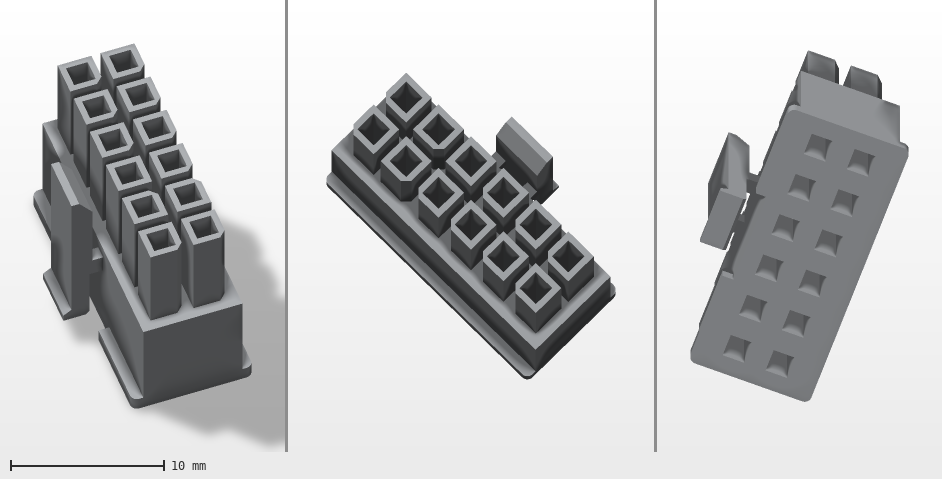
import cadquery as cq

length = 18.85
body_depth = 6.92
body_height = 7.71
body_front = -body_depth / 2

lip_reach = 0.75
lip_height = 0.98
lip_corner_radius = 0.47
front_lip_gap = 6.15

columns = 6
rows = 2
pitch = 3.0
post_side = 2.35
post_top = 14.2
key_chamfer = 0.49
hole_side = 1.5
mirrored_column = 4
square_post = (3, 0)

latch_width = 3.8
latch_bottom = 1.49
latch_top = 13.03
arm_back = 0.75
lower_arm_back = 0.96
arm_front = 2.2
latch_reach = 2.77
lead_in_depth = 0.9
lead_in_height = 1.17
heel_chamfer = 0.23
hook_edge_height = 0.53
hook_height = 0.89
bridge_bottom = 5.5
bridge_top = 6.85
bridge_leg_width = 0.9


def make_housing():
    """Rectangular block with a full rear lip and a front lip split by a gap."""
    body = cq.Workplane("XY").box(length, body_depth, body_height, centered=(True, True, False))
    flange = (
        cq.Workplane("XY")
        .box(length, body_depth + 2 * lip_reach, lip_height, centered=(True, True, False))
        .edges("|Z")
        .fillet(lip_corner_radius)
    )
    gap = (
        cq.Workplane("XY")
        .box(front_lip_gap, lip_reach, lip_height, centered=(True, True, False))
        .translate((0, body_front - lip_reach / 2, 0))
    )
    return body.union(flange.cut(gap))


def make_post(column, row):
    """Square post on the housing; all but one have a chamfered rear upright edge as a key."""
    post = cq.Workplane("XY").box(post_side, post_side, post_top - body_height, centered=(True, True, False))
    if (column, row) != square_post:
        key_edge = "<X and >Y" if column == mirrored_column else ">X and >Y"
        post = post.edges("|Z").edges(key_edge).chamfer(key_chamfer)
    x = (column - (columns - 1) / 2) * pitch
    y = (row - (rows - 1) / 2) * pitch
    return post.translate((x, y, body_height))


def make_latch():
    """Lever with a hook at its lower end, joined to the housing by two bridge legs."""
    profile = [
        (arm_back, latch_top - lead_in_height),
        (arm_back + lead_in_depth, latch_top),
        (arm_front, latch_top),
        (arm_front, latch_bottom + hook_height),
        (latch_reach, latch_bottom + hook_edge_height),
        (latch_reach, latch_bottom),
        (lower_arm_back + heel_chamfer, latch_bottom),
        (lower_arm_back, latch_bottom + heel_chamfer),
        (lower_arm_back, bridge_bottom),
        (arm_back, bridge_bottom),
    ]
    latch = (
        cq.Workplane("YZ")
        .polyline([(body_front - reach, z) for reach, z in profile])
        .close()
        .extrude(latch_width / 2, both=True)
    )
    leg_x = (latch_width - bridge_leg_width) / 2
    for side in (-1, 1):
        leg = (
            cq.Workplane("XY")
            .box(bridge_leg_width, arm_back, bridge_top - bridge_bottom, centered=(True, True, False))
            .translate((side * leg_x, body_front - arm_back / 2, bridge_bottom))
        )
        latch = latch.union(leg)
    return latch


result = make_housing().union(make_latch())

for column in range(columns):
    for row in range(rows):
        result = result.union(make_post(column, row))

holes = cq.Workplane("XY").rarray(pitch, pitch, columns, rows).rect(hole_side, hole_side).extrude(post_top)
result = result.cut(holes)